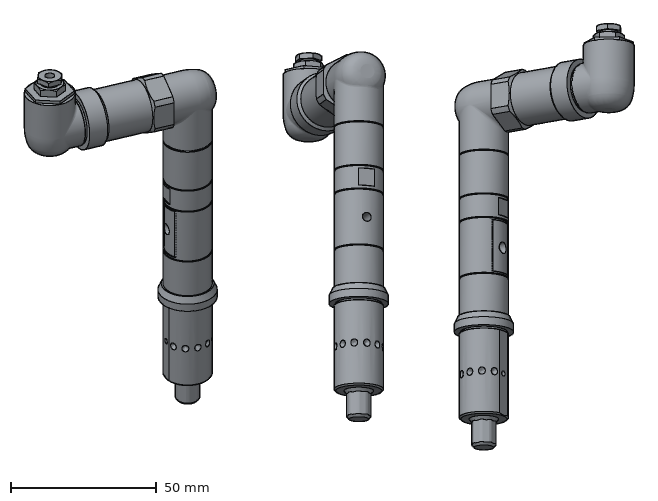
import cadquery as cq
import math

TOTAL_HEIGHT = 141.5
ARM_Z = 121.0
HEAD_Y = -52.1
JOINT_Z = 103.6
HEX_SIDES = 6
HEX_TURN = 180 / HEX_SIDES

COLUMN_R = 8.5
DRIVE_FLATS = 8
DRIVE_WIDTH = 8.2
DRIVE_CORNER_R = 4.2
DRIVE_TIP_R = 3.4
DRIVE_TIP_HEIGHT = 1.0
NECK_BOTTOM_Z = 8.8
NECK_TOP_R = 5.1
SLEEVE_BOTTOM_Z = 10.0
SLEEVE_TOP_Z = 40.2
SLEEVE_CHAMFER = 0.5
SLEEVE_FLAT_WIDTH = 4.8
COLLAR_BOTTOM_Z = 40.9
COLLAR_EDGE_Z = 43.7
COLLAR_TOP_Z = 46.1
COLLAR_R = 10.2
COLLAR_TOP_R = 9.0
UNDERCUT_R = 8.0
GROOVE_LEVELS = (59.7, 79.5, 87.9)
GROOVE_WIDTH = 0.4
GROOVE_DEPTH = 0.3
JOINT_CHAMFER = 0.4

VENT_COUNT = 12
VENT_Z = 25.0
VENT_R = 1.3
PAD_WIDTH = 5.7
PAD_BOTTOM_Z = 80.8
PAD_TOP_Z = 86.9
RECESS_WIDTH = 9.3
RECESS_BOTTOM_Z = 60.6
RECESS_TOP_Z = 78.8
RECESS_FLOOR_R = 8.0
CROSS_HOLE_Z = 69.6
CROSS_HOLE_R = 1.5
CROSS_HOLE_MOUTH_R = 2.0
CROSS_HOLE_MOUTH_DEPTH = 2.8

ELBOW_R = 8.6
NUT_START = 9.5
NUT_END = 17.4
NUT_WIDTH = 19.1
NUT_CORNER_R = 10.5
NUT_CHAMFER = 0.7
ARM_R = 9.2
RING_CONE_START = 34.0
RING_START = 35.0
RING_END = 41.8
RING_R = 20.5 / 2
STUB_GROOVE_END = 42.6
STUB_GROOVE_R = 8.2
STUB_R = 8.6
HEAD_R = 8.8
HEAD_TOP_Z = 134.7
BLEND_R = 1.1

CAP_LENGTH = 9.2
CAP_TAPER_LENGTH = 5.4
CAP_TAPER_DROP = 0.8

FLANGE_TOP_Z = 135.9
FLANGE_WIDTH = 14.7
SMALL_NUT_TOP_Z = 138.5
SMALL_NUT_WIDTH = 9.5
KNOB_NECK_R = 3.3
KNOB_BOTTOM_Z = 139.5
KNOB_WIDTH = 8.0
CORNER_CHAMFER = 0.4
KNOB_BORE_R = 1.7
KNOB_BORE_DEPTH = 2.8


def cylinder(radius, bottom, top):
    return cq.Workplane("XY").workplane(offset=bottom).circle(radius).extrude(top - bottom)


def prism(sides, across_flats, bottom, top, turn=0):
    """Regular prism on Z; the first corner lies on +X before turning."""
    corner_diameter = across_flats / math.cos(math.pi / sides)
    shape = cq.Workplane("XY").workplane(offset=bottom).polygon(sides, corner_diameter).extrude(top - bottom)
    return shape.rotate((0, 0, 0), (0, 0, 1), turn)


def turned(points):
    """Solid of revolution on Z from (radius, height) points."""
    return cq.Workplane("XZ").polyline(points).close().revolve(360, (0, 0, 0), (0, 1, 0))


def along_arm(shape):
    """Lay a shape built on +Z along the arm, so that its height runs toward -Y."""
    return shape.rotate((0, 0, 0), (1, 0, 0), 90).translate((0, 0, ARM_Z))


def end_cap(radius):
    """Rounded cap on -Z: a slightly tapering arc that runs smoothly into a tighter tip arc."""
    taper_r = (CAP_TAPER_LENGTH**2 + CAP_TAPER_DROP**2) / (2 * CAP_TAPER_DROP)
    taper_angle = math.asin(CAP_TAPER_LENGTH / taper_r)
    tip_r = (CAP_LENGTH - CAP_TAPER_LENGTH) / (1 - math.sin(taper_angle))
    tip_centre_r = radius - CAP_TAPER_DROP - tip_r * math.cos(taper_angle)
    tip_centre_z = tip_r - CAP_LENGTH

    def on_taper(angle):
        return (radius - taper_r + taper_r * math.cos(angle), -taper_r * math.sin(angle))

    def on_tip(angle):
        return (tip_centre_r + tip_r * math.cos(angle), tip_centre_z - tip_r * math.sin(angle))

    return (
        cq.Workplane("XZ")
        .moveTo(0, 0)
        .lineTo(radius, 0)
        .threePointArc(on_taper(taper_angle / 2), on_taper(taper_angle))
        .threePointArc(on_tip((taper_angle + math.pi / 2) / 2), on_tip(math.pi / 2))
        .lineTo(0, -CAP_LENGTH)
        .close()
        .revolve(360, (0, 0, 0), (0, 1, 0))
    )


def drive_end():
    octagon = prism(DRIVE_FLATS, DRIVE_WIDTH, 0, SLEEVE_BOTTOM_Z, 180 / DRIVE_FLATS)
    envelope = turned([
        (0, 0),
        (DRIVE_TIP_R, 0),
        (DRIVE_CORNER_R, DRIVE_TIP_HEIGHT),
        (DRIVE_CORNER_R, SLEEVE_BOTTOM_Z),
        (0, SLEEVE_BOTTOM_Z),
    ])
    return octagon.intersect(envelope)


def column():
    shape = turned([
        (0, NECK_BOTTOM_Z),
        (DRIVE_WIDTH / 2, NECK_BOTTOM_Z),
        (NECK_TOP_R, SLEEVE_BOTTOM_Z),
        (COLUMN_R - SLEEVE_CHAMFER, SLEEVE_BOTTOM_Z),
        (COLUMN_R, SLEEVE_BOTTOM_Z + SLEEVE_CHAMFER),
        (COLUMN_R, SLEEVE_TOP_Z),
        (UNDERCUT_R, SLEEVE_TOP_Z),
        (UNDERCUT_R, COLLAR_BOTTOM_Z),
        (COLLAR_R, COLLAR_BOTTOM_Z),
        (COLLAR_R, COLLAR_EDGE_Z),
        (COLLAR_TOP_R, COLLAR_TOP_Z),
        (COLUMN_R, COLLAR_TOP_Z),
        (COLUMN_R, JOINT_Z - JOINT_CHAMFER),
        (COLUMN_R - JOINT_CHAMFER, JOINT_Z),
        (0, JOINT_Z),
    ])
    for level in GROOVE_LEVELS:
        shape = shape.cut(turned([
            (COLUMN_R - GROOVE_DEPTH, level),
            (COLUMN_R, level - GROOVE_WIDTH / 2),
            (COLUMN_R, level + GROOVE_WIDTH / 2),
        ]))
    return shape


def side_slab(width, start, bottom, top):
    """Block on the -Y side, from the given distance to beyond the column surface."""
    depth = 2 * COLUMN_R - start
    slab = cq.Workplane("XY").box(width, depth, top - bottom, centered=(True, False, False))
    return slab.translate((0, -2 * COLUMN_R, bottom))


def chord_distance(width):
    """Distance from the column axis of a flat that meets the column surface at the given width."""
    return math.sqrt(COLUMN_R**2 - (width / 2) ** 2)


def cut_flats(shape):
    sleeve_flat = side_slab(2 * COLUMN_R, chord_distance(SLEEVE_FLAT_WIDTH), SLEEVE_BOTTOM_Z, SLEEVE_TOP_Z)
    pad = side_slab(PAD_WIDTH, chord_distance(PAD_WIDTH), PAD_BOTTOM_Z, PAD_TOP_Z)
    return shape.cut(sleeve_flat).cut(pad).cut(pad.mirror("XZ"))


def cut_recess(shape):
    slab = side_slab(RECESS_WIDTH, 0, RECESS_BOTTOM_Z, RECESS_TOP_Z)
    core = cylinder(RECESS_FLOOR_R, RECESS_BOTTOM_Z, RECESS_TOP_Z)
    return shape.cut(slab.cut(core))


def cut_cross_hole(shape):
    mouth_floor = RECESS_FLOOR_R - CROSS_HOLE_MOUTH_DEPTH
    drill = turned([
        (0, -COLLAR_R),
        (CROSS_HOLE_R, -COLLAR_R),
        (CROSS_HOLE_R, mouth_floor),
        (CROSS_HOLE_MOUTH_R, mouth_floor),
        (CROSS_HOLE_MOUTH_R, COLLAR_R),
        (0, COLLAR_R),
    ])
    return shape.cut(drill.rotate((0, 0, 0), (1, 0, 0), 90).translate((0, 0, CROSS_HOLE_Z)))


def cut_vents(shape):
    """Ring of conical vent dimples around the sleeve."""
    dimple = turned([(0, 0), (2 * VENT_R, 2 * VENT_R), (0, 2 * VENT_R)])
    dimple = dimple.rotate((0, 0, 0), (0, 1, 0), 90).translate((COLUMN_R - VENT_R, 0, VENT_Z))
    for index in range(VENT_COUNT):
        shape = shape.cut(dimple.rotate((0, 0, 0), (0, 0, 1), index * 360 / VENT_COUNT))
    return shape


def make_tool_body():
    body = cut_flats(column())
    body = cut_recess(body)
    body = cut_cross_hole(body)
    body = cut_vents(body)
    return body.union(drive_end())


def blend_pipes(shape):
    """Fillet the free-form edges along which two crossing pipes meet."""
    return shape.edges("%BSPLINE").fillet(BLEND_R)


def elbow():
    leg = cylinder(COLUMN_R, JOINT_Z, ARM_Z)
    pipe = along_arm(cylinder(ELBOW_R, 0, NUT_START).union(end_cap(ELBOW_R)))
    return blend_pipes(leg.union(pipe))


def arm_nut():
    hexagon = prism(HEX_SIDES, NUT_WIDTH, NUT_START, NUT_END, HEX_TURN)
    envelope = turned([
        (0, NUT_START),
        (NUT_CORNER_R, NUT_START),
        (NUT_CORNER_R, NUT_END - NUT_CHAMFER),
        (ARM_R, NUT_END),
        (0, NUT_END),
    ])
    return along_arm(hexagon.intersect(envelope))


def arm_barrel():
    return along_arm(turned([
        (0, NUT_START),
        (ARM_R, NUT_START),
        (ARM_R, RING_CONE_START),
        (RING_R, RING_START),
        (RING_R, RING_END),
        (STUB_GROOVE_R, RING_END),
        (STUB_GROOVE_R, STUB_GROOVE_END),
        (0, STUB_GROOVE_END),
    ]))


def head():
    barrel = cylinder(HEAD_R, ARM_Z, HEAD_TOP_Z)
    cap = end_cap(HEAD_R).translate((0, 0, ARM_Z))
    stub = along_arm(cylinder(STUB_R, STUB_GROOVE_END, -HEAD_Y))
    return blend_pipes(barrel.union(cap).translate((0, HEAD_Y, 0)).union(stub))


def bevelled_hexagon(across_flats, bottom, top, turn=0):
    """Hexagon whose top corners are bevelled down to the circle that touches the flats."""
    corner_r = across_flats / math.sqrt(3)
    envelope = turned([
        (0, bottom),
        (corner_r, bottom),
        (corner_r, top - CORNER_CHAMFER),
        (across_flats / 2, top),
        (0, top),
    ])
    return prism(HEX_SIDES, across_flats, bottom, top, turn).intersect(envelope)


def top_connector():
    flange = prism(HEX_SIDES, FLANGE_WIDTH, HEAD_TOP_Z, FLANGE_TOP_Z)
    nut = bevelled_hexagon(SMALL_NUT_WIDTH, FLANGE_TOP_Z, SMALL_NUT_TOP_Z)
    neck = cylinder(KNOB_NECK_R, SMALL_NUT_TOP_Z, KNOB_BOTTOM_Z)
    knob = bevelled_hexagon(KNOB_WIDTH, KNOB_BOTTOM_Z, TOTAL_HEIGHT, HEX_TURN)
    bore = cylinder(KNOB_BORE_R, TOTAL_HEIGHT - KNOB_BORE_DEPTH, TOTAL_HEIGHT)
    return flange.union(nut).union(neck).union(knob).cut(bore).translate((0, HEAD_Y, 0))


def make_swivel_fitting():
    fitting = elbow().union(arm_nut()).union(arm_barrel())
    return fitting.union(head()).union(top_connector())


tool_body = make_tool_body()
swivel_fitting = make_swivel_fitting()
result = cq.Compound.makeCompound([tool_body.val(), swivel_fitting.val()])